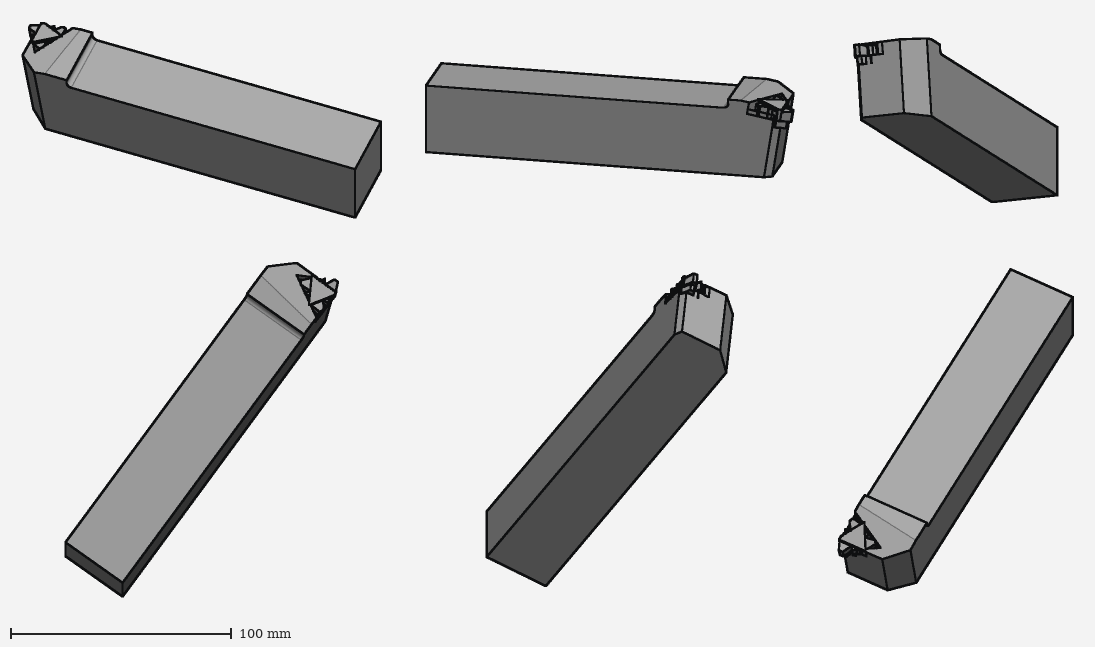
import cadquery as cq
import math

overall_length = 170.0
shank_size = 32.0
head_height = 36.0
toe_x = 9.4
brow_x = 4.0
brow_height = 33.3
step_x = 29.4
step_radius = 2.2
corner_chamfer = 9.5
relief_width = 1.9
relief_run = 3.4
ridge_front_x = 18.7
ridge_back_x = 23.6
top_slope = 9.5
margin = 8.5

insert_x = 8.8
insert_y = 25.7
insert_depth = 5.6
triangle_inradius = 4.2
rake_depth = 1.2
tooth_offset = 3.0
tooth_root_width = 6.1
tooth_tip_width = 2.0
tooth_reach = 8.8
spur_offset = -1.5
spur_width = 2.7
spur_reach = 6.6

heel_setback = 1.5
heel_depth = 9.2

pocket_radius = 12.8

slope_rise = math.tan(math.radians(top_slope))
ridge_dx = ridge_back_x - ridge_front_x
ridge_length = math.hypot(ridge_dx, shank_size)
slope_x = slope_rise * shank_size / ridge_length
slope_y = -slope_rise * ridge_dx / ridge_length


def head_top_plane(x, y):
    """Plane of the sloping head top, with its origin above (x, y)."""
    z = head_height + slope_x * (x - ridge_front_x) + slope_y * y
    return cq.Plane(origin=(x, y, z), xDir=(1, 0, slope_x), normal=(-slope_x, -slope_y, 1))


def head_slope_cutter():
    """Solid above the plane that falls from the slanted ridge to the end face."""
    size = 4 * shank_size
    return cq.Workplane(head_top_plane(ridge_front_x, 0)).rect(size, size).extrude(margin)


def make_blank():
    """Square shank with a raised, leaning and chamfered head."""
    lean = (toe_x - brow_x) / brow_height
    arc_mid = step_radius * (1 - math.sqrt(0.5))
    blank = (
        cq.Workplane("XZ")
        .moveTo(toe_x, 0)
        .lineTo(overall_length, 0)
        .lineTo(overall_length, shank_size)
        .lineTo(step_x + step_radius, shank_size)
        .threePointArc(
            (step_x + arc_mid, shank_size + arc_mid),
            (step_x, shank_size + step_radius),
        )
        .lineTo(step_x, head_height)
        .lineTo(toe_x - lean * head_height, head_height)
        .close()
        .extrude(-shank_size)
    )
    blank = blank.faces("<X").edges("<Y").chamfer(corner_chamfer)
    blank = blank.faces("<X").edges(">Y").chamfer(relief_width, relief_run)
    return blank.cut(head_slope_cutter())


def triangle(radius, first_angle):
    """Corners of an equilateral triangle about the origin."""
    angles = [math.radians(first_angle + 120 * i) for i in range(3)]
    return [(radius * math.cos(a), radius * math.sin(a)) for a in angles]


def tooth_outline():
    """Tooth and spur as a vertical prism pointing to -X, as deep as the heel."""
    root_half = tooth_root_width / 2
    tip_half = tooth_tip_width / 2
    tooth = [
        (0, tooth_offset - root_half),
        (-triangle_inradius, tooth_offset - root_half),
        (-tooth_reach, tooth_offset - tip_half),
        (-tooth_reach, tooth_offset + tip_half),
        (-triangle_inradius, tooth_offset + root_half),
        (0, tooth_offset + root_half),
    ]
    spur = [
        (0, spur_offset - spur_width / 2),
        (-triangle_inradius, spur_offset - spur_width / 2),
        (-spur_reach, spur_offset),
        (-triangle_inradius, spur_offset + spur_width / 2),
        (0, spur_offset + spur_width / 2),
    ]
    tooth_prism = cq.Workplane("XY").polyline(tooth).close().extrude(-heel_depth)
    spur_prism = cq.Workplane("XY").polyline(spur).close().extrude(-heel_depth)
    return tooth_prism.union(spur_prism)


def make_side_teeth():
    """Tooth and spur whose tops rise outwards at the slope of the head."""
    tip_depth = rake_depth - (tooth_reach - triangle_inradius) * slope_rise
    side_profile = (
        cq.Workplane("XZ")
        .moveTo(0, -rake_depth)
        .lineTo(-triangle_inradius, -rake_depth)
        .lineTo(-tooth_reach, -tip_depth)
        .lineTo(-tooth_reach, -insert_depth)
        .lineTo(0, -insert_depth)
        .close()
        .extrude(tooth_reach, both=True)
    )
    return tooth_outline().intersect(side_profile)


def make_seated(shape):
    """Move a shape built about the origin to the insert seat on the head top."""
    return cq.Workplane(shape.val().moved(head_top_plane(insert_x, insert_y).location))


def make_insert():
    insert = cq.Workplane("XY").polyline(triangle(2 * triangle_inradius, 0)).close().extrude(-insert_depth)
    for side in range(3):
        insert = insert.union(make_side_teeth().rotate((0, 0, 0), (0, 0, 1), 120 * side))
    insert = make_seated(insert)
    tip_x = insert.val().BoundingBox().xmin
    return insert.translate((-tip_x, 0, 0)).cut(behind_back_face())


def make_heel():
    """Tooth-shaped support on the end face, below the front tooth."""
    return make_seated(tooth_outline().translate((heel_setback, 0, 0)))


def make_pocket():
    """Triangular pocket, open to the top and to the end and +Y faces."""
    pocket = (
        cq.Workplane("XY", origin=(0, 0, -insert_depth))
        .polyline(triangle(pocket_radius, 30))
        .close()
        .extrude(insert_depth + margin)
    )
    return make_seated(pocket)


def behind_back_face():
    """Solid beyond the +Y face, used to trim parts flush with it."""
    size = 2 * head_height
    return cq.Workplane("XY").box(size, size, size).translate((insert_x, shank_size + size / 2, head_height))


insert = make_insert()
holder = make_blank().union(make_heel()).cut(make_pocket()).cut(insert).cut(behind_back_face())
result = cq.Compound.makeCompound([holder.val(), insert.val()])